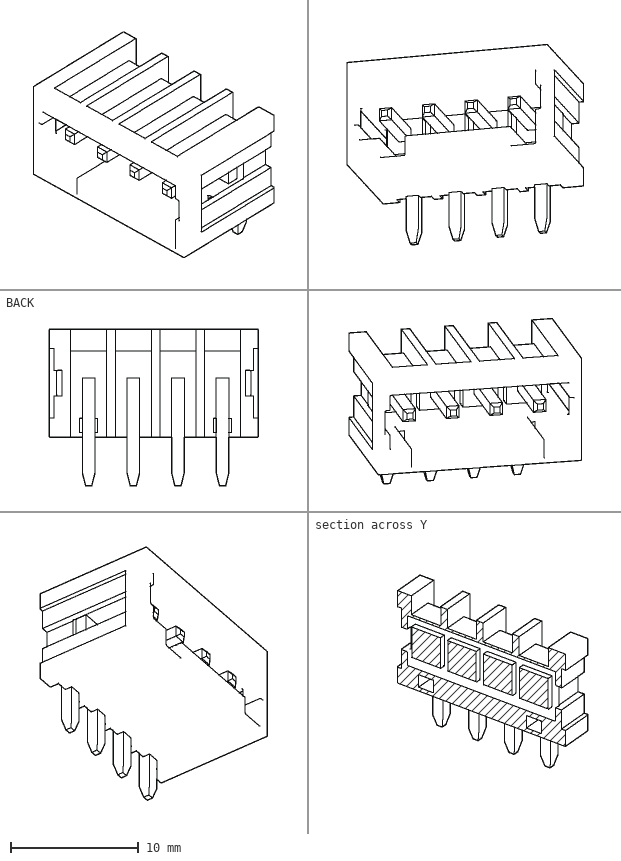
import cadquery as cq

LENGTH = 16.4
DEPTH = 10.3
HEIGHT = 8.5
EDGE_RADIUS = 0.1

CONTACT_COUNT = 4
CONTACT_SPAN = 10.5
PITCH = CONTACT_SPAN / (CONTACT_COUNT - 1)
FIRST_CONTACT_X = 2.8
CONTACT_Z = 4.35
CONTACT_WIDTH = 1.0
TIP_WIDTH = CONTACT_WIDTH / 2
CONTACT_FRONT_Y = 1.03
FRONT_TAPER = 0.26
LEG_BACK_GAP = 0.46
TOTAL_HEIGHT = 12.3
LEG_DROP = TOTAL_HEIGHT - HEIGHT
LEG_TAPER = 1.0
BEND_RADIUS = 0.98

CAVITY_WALL = 1.0
CAVITY_BOTTOM = 2.0
CAVITY_TOP = 6.5
CAVITY_DEPTH = 7.79

KEYWAY_WIDTH = 2.02
KEYWAY_DEPTH = 6.0
KEYWAY_BOTTOM = 0.4
LEFT_KEYWAY_X = 2.72
RIGHT_KEYWAY_X = LENGTH - CAVITY_WALL - KEYWAY_WIDTH

KEYWAY_WINDOW_WIDTH = 1.41
KEYWAY_WINDOW_TOP = 1.5

LATCH_BOTTOM = 3.25
LATCH_HEIGHT = 2.0
LATCH_WALL = 0.59
FRAME_DEPTH = 2.0
RECESS_DEPTH = 0.4
RECESS_BOTTOM = 1.51
RECESS_TOP = 6.99

BAY_WIDTH = 2.82
BOSS_FRONT_Y = 6.8
SLOT_FRONT_Y = 1.0
SLOT_FLOOR = 6.77
CHANNEL_DEPTH = 0.84

latch_top = LATCH_BOTTOM + LATCH_HEIGHT
channel_wall_y = DEPTH - CHANNEL_DEPTH
leg_back_y = DEPTH - LEG_BACK_GAP
leg_y = leg_back_y - CONTACT_WIDTH / 2
contact_xs = [FIRST_CONTACT_X + i * PITCH for i in range(CONTACT_COUNT)]


def block(x0, x1, y0, y1, z0, z1):
    """Box between two opposite corners."""
    return cq.Workplane("XY").box(x1 - x0, y1 - y0, z1 - z0, centered=False).translate((x0, y0, z0))


def cavity():
    """Rounded solid of the mating cavity with its keyways and latch slots."""
    shape = block(CAVITY_WALL, LENGTH - CAVITY_WALL, 0, CAVITY_DEPTH, CAVITY_BOTTOM, CAVITY_TOP)
    for x in (LEFT_KEYWAY_X, RIGHT_KEYWAY_X):
        shape = shape.union(block(x, x + KEYWAY_WIDTH, 0, KEYWAY_DEPTH, KEYWAY_BOTTOM, CAVITY_TOP))
    shape = shape.union(block(LATCH_WALL, LENGTH - LATCH_WALL, 0, CAVITY_DEPTH, LATCH_BOTTOM, latch_top))
    return shape.faces("not <Y").edges("not <Y").fillet(EDGE_RADIUS)


def end_wall_cut(outer_x, direction):
    """Recess in the outside of an end wall and the open latch window inside it."""
    def from_end(depth, z0, z1):
        xs = sorted((outer_x, outer_x + direction * depth))
        return block(xs[0], xs[1], FRAME_DEPTH, DEPTH, z0, z1)

    recess = from_end(RECESS_DEPTH, RECESS_BOTTOM, RECESS_TOP)
    window = from_end(CAVITY_WALL, LATCH_BOTTOM, latch_top)
    return recess.union(window)


def tip(plane, length):
    """Square taper from the full contact width down to the tip width."""
    full = cq.Workplane(plane).rect(CONTACT_WIDTH, CONTACT_WIDTH)
    return full.workplane(offset=length).rect(TIP_WIDTH, TIP_WIDTH).loft(ruled=True)


def contact(x):
    """Square right-angle contact: a pin with a tapered front bent down into a tapered solder leg."""
    half = CONTACT_WIDTH / 2
    bottom, top = CONTACT_Z - half, CONTACT_Z + half
    taper_end_y = CONTACT_FRONT_Y + FRONT_TAPER
    pin = block(x - half, x + half, taper_end_y, leg_back_y, bottom, top)
    leg_taper_z = LEG_TAPER - LEG_DROP
    leg = block(x - half, x + half, leg_back_y - CONTACT_WIDTH, leg_back_y, leg_taper_z, top)
    bent = pin.union(leg).edges(">Z and >Y").fillet(BEND_RADIUS)
    front_plane = cq.Plane(origin=(x, taper_end_y, CONTACT_Z), xDir=(1, 0, 0), normal=(0, -1, 0))
    leg_plane = cq.Plane(origin=(x, leg_y, leg_taper_z), xDir=(1, 0, 0), normal=(0, 0, -1))
    return bent.union(tip(front_plane, FRONT_TAPER)).union(tip(leg_plane, LEG_TAPER))


housing = block(0, LENGTH, 0, DEPTH, 0, HEIGHT).edges().fillet(EDGE_RADIUS)
housing = housing.cut(cavity())
housing = housing.faces("<Y").edges().fillet(EDGE_RADIUS)

housing = housing.cut(end_wall_cut(0, 1)).cut(end_wall_cut(LENGTH, -1))

boss_bottom = (HEIGHT - BAY_WIDTH) / 2
for x in contact_xs:
    left, right = x - BAY_WIDTH / 2, x + BAY_WIDTH / 2
    housing = housing.cut(block(left, right, SLOT_FRONT_Y, DEPTH, SLOT_FLOOR, HEIGHT))
    housing = housing.cut(block(left, right, channel_wall_y, DEPTH, 0, HEIGHT))
    boss = block(left, right, BOSS_FRONT_Y, channel_wall_y, boss_bottom, boss_bottom + BAY_WIDTH)
    housing = housing.union(boss)

for x in (contact_xs[0], contact_xs[-1]):
    half = KEYWAY_WINDOW_WIDTH / 2
    opening = block(x - half, x + half, KEYWAY_DEPTH - EDGE_RADIUS, DEPTH, KEYWAY_BOTTOM, KEYWAY_WINDOW_TOP)
    housing = housing.cut(opening)

result = housing
for x in contact_xs:
    result = result.union(contact(x))